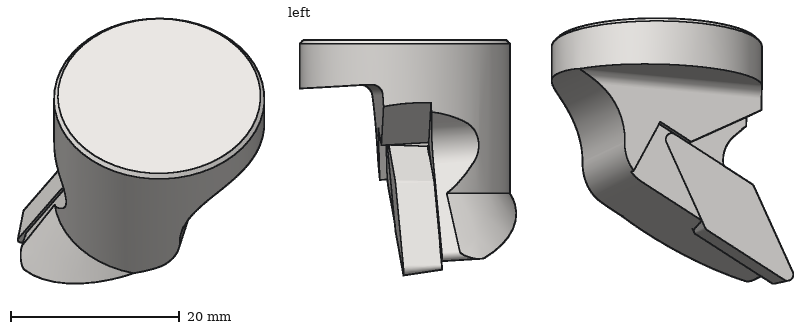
import cadquery as cq
import math

shank_radius = 12.5
top_chamfer = 0.47
flare_start_z = -18.23
flare_slope = 0.56
blank_bottom_z = -29.4

tip_angle = 35.0
inscribed_diameter = 7.95
insert_thickness = 4.62
insert_corner_radius = 0.8
relief_angle = 5.0
insert_tilt = 5.0
tip_x, tip_y, tip_z = -16.1, 0.2, -27.2

holder_inset = 0.65
holder_nose_radius = 0.7
heel_radius = 4.82
heel_right = 5.12
back_scallop_radius = 8.23
back_scallop_rise = 14.05
relief_radius = 3.97
relief_rise = 14.05
relief_roof_angle = 42.0

flute_floor_height = 0.88
flute_roof_z = -5.15
flute_fillet = 1.32
slot_clearance = 0.15
slot_roof_start_z = -7.65
reach = 35.28

low_angle = math.radians(45 - tip_angle / 2)
steep_angle = math.radians(45 + tip_angle / 2)
half_tip = math.radians(tip_angle / 2)

tilt_part = math.tan(math.radians(insert_tilt)) / math.sqrt(2)
front_normal = cq.Vector(tilt_part, -1, tilt_part).normalized()


def rake_plane(depth=0.0):
    """Plane parallel to the rake face; depth is measured into the holder (-Y)."""
    origin = cq.Vector(tip_x, tip_y, tip_z) + front_normal * depth
    return cq.Plane(origin=origin, xDir=(1, tilt_part, 0), normal=front_normal)


def along(start, angle, distance):
    return (start[0] + distance * math.cos(angle), start[1] + distance * math.sin(angle))


def apex(nose_radius, inset=0.0):
    """Sharp corner of the nose edges, set back from the insert edges by inset."""
    return along((0, 0), math.pi / 4, (inset - nose_radius) / math.sin(half_tip))


def insert_corners():
    """Sharp corners of the rhombus: nose, right, far and left."""
    edge = inscribed_diameter / math.sin(math.radians(tip_angle))
    nose = apex(insert_corner_radius)
    right_corner = along(nose, low_angle, edge)
    left_corner = along(nose, steep_angle, edge)
    far_corner = along(right_corner, steep_angle, edge)
    return nose, right_corner, far_corner, left_corner


def on_arc(center, radius, angle):
    return along(center, angle, radius)


def make_insert():
    corners = insert_corners()
    outline = cq.Sketch().polygon([*corners, corners[0]])
    outline = outline.vertices().fillet(insert_corner_radius)
    insert = cq.Workplane(rake_plane()).placeSketch(outline)
    return insert.extrude(insert_thickness, taper=relief_angle)


def make_blank():
    flare_radius = shank_radius + flare_slope * (flare_start_z - blank_bottom_z)
    return (
        cq.Workplane("XZ")
        .moveTo(0, 0)
        .lineTo(shank_radius - top_chamfer, 0)
        .lineTo(shank_radius, -top_chamfer)
        .lineTo(shank_radius, flare_start_z)
        .lineTo(flare_radius, blank_bottom_z)
        .lineTo(0, blank_bottom_z)
        .close()
        .revolve(360, (0, 0, 0), (0, 1, 0))
    )


def make_outline_prism():
    """Side outline of the holder, carried through parallel to the insert thickness."""
    corner = apex(insert_corner_radius, holder_inset)
    nose_center = along(corner, math.pi / 4, holder_nose_radius / math.sin(half_tip))

    low_normal = low_angle - math.pi / 2
    steep_normal = steep_angle + math.pi / 2

    heel_u = heel_right - heel_radius - tip_x
    heel_v = corner[1] + (heel_u - corner[0]) * math.tan(low_angle)
    heel_v += heel_radius / math.cos(low_angle)
    heel = (heel_u, heel_v)
    heel_end = on_arc(heel, heel_radius, 0)

    scallop = (heel_end[0] + back_scallop_radius, back_scallop_rise)
    scallop_start = on_arc(scallop, back_scallop_radius, math.pi)
    scallop_mid = on_arc(scallop, back_scallop_radius, 0.75 * math.pi)
    scallop_top = on_arc(scallop, back_scallop_radius, math.pi / 2)

    relief_u = corner[0] + (relief_rise - corner[1]) / math.tan(steep_angle)
    relief = (relief_u - relief_radius / math.sin(steep_angle), relief_rise)
    roof_angle = math.radians(relief_roof_angle)
    relief_low = on_arc(relief, relief_radius, steep_normal - math.pi)
    relief_mid = on_arc(relief, relief_radius, 0)
    relief_high = on_arc(relief, relief_radius, math.pi / 2 - roof_angle)
    roof_end = along(relief_high, math.pi - roof_angle, shank_radius)

    return (
        cq.Workplane(rake_plane(-reach / 2))
        .moveTo(*on_arc(nose_center, holder_nose_radius, low_normal))
        .lineTo(*on_arc(heel, heel_radius, low_normal))
        .threePointArc(on_arc(heel, heel_radius, low_normal / 2), heel_end)
        .lineTo(*scallop_start)
        .threePointArc(scallop_mid, scallop_top)
        .lineTo(reach, scallop_top[1])
        .lineTo(reach, reach)
        .lineTo(roof_end[0], reach)
        .lineTo(*roof_end)
        .lineTo(*relief_high)
        .threePointArc(relief_mid, relief_low)
        .lineTo(*on_arc(nose_center, holder_nose_radius, steep_normal))
        .threePointArc(
            on_arc(nose_center, holder_nose_radius, 1.25 * math.pi),
            on_arc(nose_center, holder_nose_radius, low_normal),
        )
        .close()
        .extrude(reach)
    )


def make_flute():
    """Open space in front of the rake face, rounded where floor meets roof."""
    roof_rise = flute_roof_z - tip_z
    flute = (
        cq.Workplane(rake_plane(-flute_floor_height))
        .center(0, roof_rise - reach / 2)
        .rect(2 * reach, reach)
        .extrude(-reach)
    )
    inner_edge = rake_plane(-flute_floor_height).toWorldCoords((0, roof_rise))
    return flute.edges(cq.selectors.NearestToPointSelector(inner_edge.toTuple())).fillet(flute_fillet)


def slot_roof_ends():
    """Outer and inner ends of the slot roof, which meets the upper edge of the insert."""
    shoulder = insert_corners()[3]
    roof_start = (-shank_radius - tip_x, slot_roof_start_z - tip_z)
    slope = math.tan(low_angle)
    run = (roof_start[1] - shoulder[1] + slope * (roof_start[0] - shoulder[0])) / (2 * slope)
    inner_end = (shoulder[0] + run, shoulder[1] + run * slope)
    outer_end = along(roof_start, math.pi - low_angle, shank_radius)
    return outer_end, inner_end


def make_insert_slot():
    """Slot that frees the upper end of the insert; its roof is square to the steep edge."""
    nose = insert_corners()[0]
    outer_end, inner_end = slot_roof_ends()
    below_roof = (inner_end[0], inner_end[1] - insert_corner_radius)
    beside_nose = along(nose, math.pi, shank_radius)
    return (
        cq.Workplane(rake_plane())
        .polyline([inner_end, outer_end, beside_nose, nose, below_roof])
        .close()
        .extrude(insert_thickness + slot_clearance)
    )


def make_rake_recess():
    """Step from the flute floor down to the rake face, with a wall square to the low edge."""
    far_corner = insert_corners()[2]
    outer_end, inner_end = slot_roof_ends()
    wall_bottom = along(far_corner, -steep_angle, reach)
    below_outer_end = (outer_end[0], wall_bottom[1])
    return (
        cq.Workplane(rake_plane(-flute_floor_height))
        .polyline([outer_end, inner_end, far_corner, wall_bottom, below_outer_end])
        .close()
        .extrude(flute_floor_height)
    )


insert = make_insert()
holder = (
    make_blank()
    .intersect(make_outline_prism())
    .cut(make_flute())
    .cut(make_insert_slot())
    .cut(make_rake_recess())
    .cut(insert)
)

result = cq.Compound.makeCompound([holder.solids().val(), insert.val()])